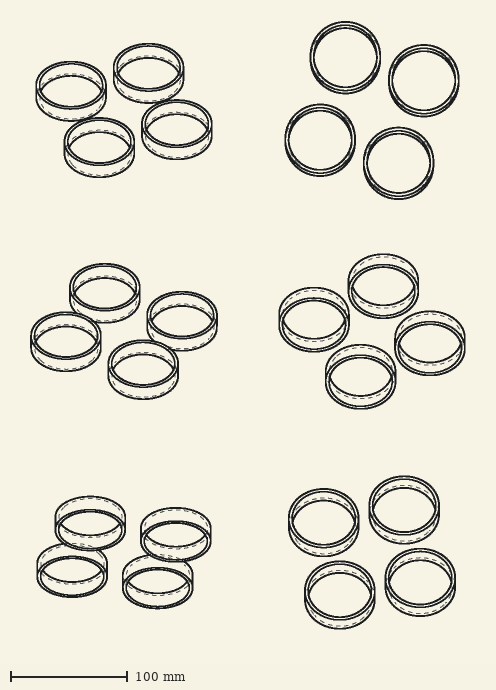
import cadquery as cq

overall_length = 135.0
overall_width = 130.0

outer_diameter = 60.0
inner_diameter = 54.0
ring_height = 14.0

spacing_x = overall_length - outer_diameter
spacing_y = overall_width - outer_diameter


def make_ring(center_x, center_y):
    """Plain cylindrical ring standing on the XY plane."""
    return (
        cq.Workplane("XY")
        .center(center_x, center_y)
        .circle(outer_diameter / 2)
        .circle(inner_diameter / 2)
        .extrude(ring_height)
    )


rings = []
for side_x in (-1, 1):
    for side_y in (-1, 1):
        ring = make_ring(side_x * spacing_x / 2, side_y * spacing_y / 2)
        rings.append(ring.val())

result = cq.Compound.makeCompound(rings)